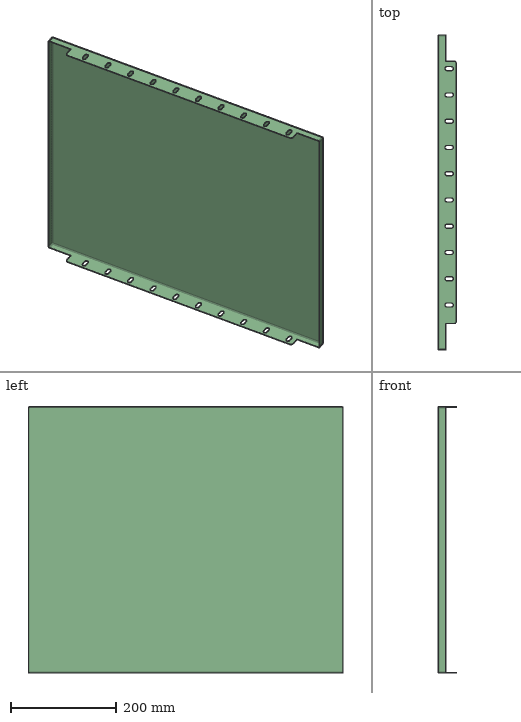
import cadquery as cq

panel_width = 599.0
panel_height = 507.0
rim_depth = 15.0
sheet_thickness = 1.5
bend_radius = 2.0
corner_radius = 2.5

tab_reach = 35.0
tab_length = 499.5
tab_corner_radius = 5.0

slot_count = 10
slot_pitch = tab_length / slot_count
slot_length = 15.5
slot_width = 7.0
slot_center_x = 21.0
first_slot_inset = 14.5


def make_tray():
    """Rounded face with a rim on all four sides, hollow from the back."""
    block = cq.Workplane("XY").box(
        rim_depth, panel_width, panel_height, centered=(False, True, True)
    )
    rounded = block.edges("|X").fillet(corner_radius).faces("<X").edges().fillet(bend_radius)
    return rounded.faces(">X").shell(-sheet_thickness)


def make_tab(bottom_z):
    """Flat tab that starts inside the rim and has two rounded outer corners."""
    tab_start = rim_depth / 2
    return (
        cq.Workplane("XY")
        .box(tab_reach - tab_start, tab_length, sheet_thickness, centered=(False, True, False))
        .edges("|Z and >X")
        .fillet(tab_corner_radius)
        .translate((tab_start, 0, bottom_z))
    )


def make_slots():
    """Row of slots, tall enough to pass through the top and bottom tabs."""
    first_slot_y = tab_length / 2 - first_slot_inset
    centers = [(slot_center_x, first_slot_y - i * slot_pitch) for i in range(slot_count)]
    return (
        cq.Workplane("XY")
        .pushPoints(centers)
        .slot2D(slot_length, slot_width)
        .extrude(panel_height, both=True)
    )


top_tab = make_tab(panel_height / 2 - sheet_thickness)
bottom_tab = make_tab(-panel_height / 2)

result = make_tray().union(top_tab).union(bottom_tab).cut(make_slots())